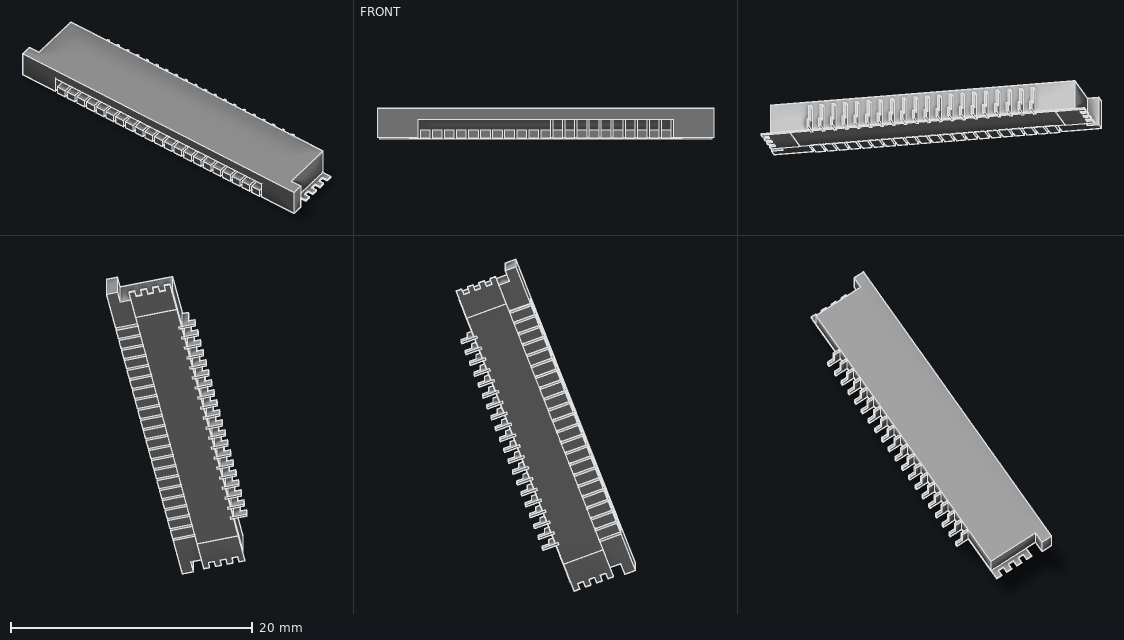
import cadquery as cq

LENGTH = 27.92
DEPTH = 6.53
HEIGHT = 2.57

BODY_WIDTH = 25.97
BODY_BACK = 5.42
LIP_DEPTH = 0.95
STANDOFF = 0.15

PITCH = 1.0
GAP = 0.2
BLOCK_COUNT = 21
BLOCK_WIDTH = PITCH - GAP
BLOCK_BOTTOM = 0.08
BLOCK_TOP = 0.78
SLOT_WIDTH = 21.22
SLOT_DEPTH = 1.87
SLOT_TOP = 1.62
GROOVE_DEPTH = 0.2

ANCHOR_SPAN = 27.58
ANCHOR_WEB_SPAN = 26.58
ANCHOR_INNER_SPAN = 22.62
FLOOR_BOTTOM = 0.03
ANCHOR_TABS = 4
TAB_WIDTH = 0.5
ANCHOR_FRONT = SLOT_DEPTH
ANCHOR_LENGTH = (ANCHOR_TABS - 1) * PITCH + TAB_WIDTH

PIN_COUNT = BLOCK_COUNT - 1
PIN_WIDTH = GAP
PIN_KNEE = 5.97
PIN_STEM_TOP = 2.07
PIN_FOOT_TOP = 0.7

OVERLAP = 0.28


def box(x_range, y_range, z_range):
    """Axis-aligned block between the given limits."""
    (x0, x1), (y0, y1), (z0, z1) = x_range, y_range, z_range
    return cq.Workplane("XY").box(x1 - x0, y1 - y0, z1 - z0, centered=False).translate((x0, y0, z0))


def centred(width, middle=0.0):
    """Limits of a span of the given width about its middle."""
    return (middle - width / 2, middle + width / 2)


def row_positions(count):
    """X positions of evenly pitched items, centred on the part."""
    return [(i - (count - 1) / 2) * PITCH for i in range(count)]


def make_housing():
    """Main body with the wider front lip, opened by the cable slot."""
    body = box(centred(BODY_WIDTH), (0, BODY_BACK), (STANDOFF, HEIGHT))
    lip = box(centred(LENGTH), (0, LIP_DEPTH), (STANDOFF, HEIGHT))
    slot = box(centred(SLOT_WIDTH), (0, SLOT_DEPTH), (0, SLOT_TOP))
    return body.union(lip).cut(slot)


def cut_contact_grooves(housing):
    """Grooves in the slot's back wall on the +X side of the middle block and of each block beyond it."""
    y_range = (SLOT_DEPTH, SLOT_DEPTH + GROOVE_DEPTH)
    for x in row_positions(BLOCK_COUNT):
        if x > -PITCH / 2:
            start = x + BLOCK_WIDTH / 2
            end = min(start + GAP, SLOT_WIDTH / 2)
            housing = housing.cut(box((start, end), y_range, (STANDOFF, SLOT_TOP)))
    return housing


def make_block(x):
    """One comb block reaching forward from the back wall of the slot."""
    return box(centred(BLOCK_WIDTH, x), (0, SLOT_DEPTH + OVERLAP), (BLOCK_BOTTOM, BLOCK_TOP))


def make_base():
    """Solder anchors at both ends, joined by a floor that clears the board slightly."""
    y_range = (ANCHOR_FRONT, ANCHOR_FRONT + ANCHOR_LENGTH)
    z_range = (0, STANDOFF)
    plate = box(centred(ANCHOR_WEB_SPAN), y_range, z_range)
    for i in range(ANCHOR_TABS):
        start = ANCHOR_FRONT + i * PITCH
        plate = plate.union(box(centred(ANCHOR_SPAN), (start, start + TAB_WIDTH), z_range))
    return plate.cut(box(centred(ANCHOR_INNER_SPAN), y_range, (0, FLOOR_BOTTOM)))


def make_pin(x):
    """Contact tail: a tall stem against the back wall and a low solder foot."""
    root = BODY_BACK - OVERLAP
    stem = box(centred(PIN_WIDTH, x), (root, PIN_KNEE), (0, PIN_STEM_TOP))
    foot = box(centred(PIN_WIDTH, x), (root, DEPTH), (0, PIN_FOOT_TOP))
    return stem.union(foot)


result = cut_contact_grooves(make_housing()).union(make_base())
for block_x in row_positions(BLOCK_COUNT):
    result = result.union(make_block(block_x))
for pin_x in row_positions(PIN_COUNT):
    result = result.union(make_pin(pin_x))